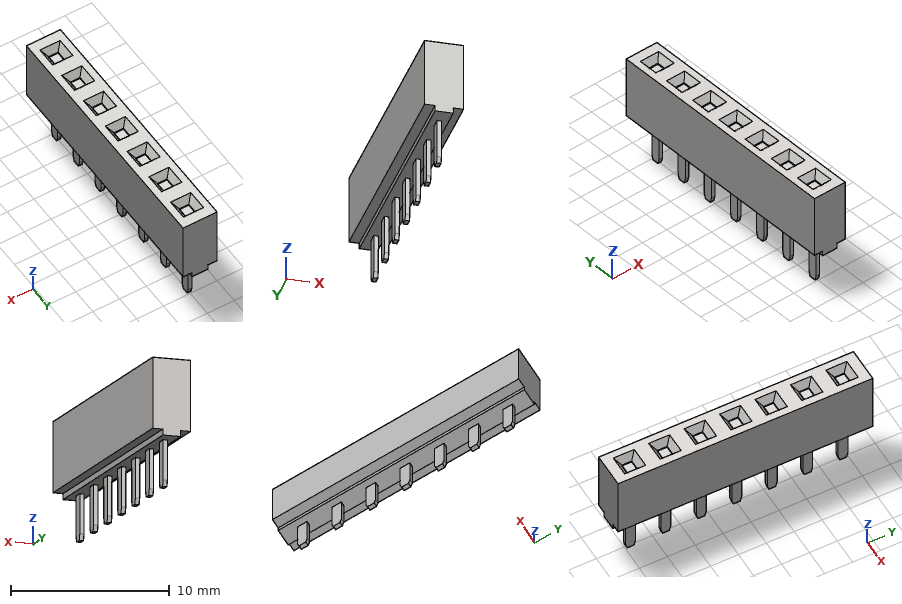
import cadquery as cq

contact_count = 7
pitch = 2.55
housing_length = 18.29
housing_width = pitch
overall_height = 8.0

pin_length = 3.0
housing_height = overall_height - pin_length
rail_width = 1.19
rail_height = 0.38

mouth_size = 1.5
socket_size = 0.71
lead_in_depth = 0.5
socket_depth = 0.1

pin_width = 0.71
pin_thickness = 0.3
tip_width = 0.5
tip_length = 0.4

contact_positions = [(0, (i - (contact_count - 1) / 2) * pitch) for i in range(contact_count)]


def make_housing():
    """Block above a narrower full-length rail; the rail sits on Z = 0."""
    block = (
        cq.Workplane("XY")
        .workplane(offset=rail_height)
        .rect(housing_width, housing_length)
        .extrude(housing_height - rail_height)
    )
    rail = cq.Workplane("XY").rect(rail_width, housing_length).extrude(rail_height)
    return block.union(rail)


def make_openings():
    """Pyramid-shaped lead-ins continued by straight blind sockets."""
    lead_in = (
        cq.Workplane("XY")
        .workplane(offset=housing_height)
        .rect(mouth_size, mouth_size)
        .workplane(offset=-lead_in_depth)
        .rect(socket_size, socket_size)
        .loft(ruled=True)
    )
    socket = (
        cq.Workplane("XY")
        .workplane(offset=housing_height - lead_in_depth)
        .rect(socket_size, socket_size)
        .extrude(-socket_depth)
    )
    opening = lead_in.union(socket).val()
    openings = cq.Workplane("XY").pushPoints(contact_positions)
    return openings.eachpoint(lambda place: opening.moved(place))


def make_pins():
    """Flat pins hanging below the rail, tapered across Y at the tip."""
    half_width = pin_width / 2
    half_tip = tip_width / 2
    shoulder_z = tip_length - pin_length
    pin = (
        cq.Workplane("YZ")
        .polyline(
            [
                (-half_width, 0),
                (-half_width, shoulder_z),
                (-half_tip, -pin_length),
                (half_tip, -pin_length),
                (half_width, shoulder_z),
                (half_width, 0),
            ]
        )
        .close()
        .extrude(pin_thickness / 2, both=True)
        .val()
    )
    pins = cq.Workplane("XY").pushPoints(contact_positions)
    return pins.eachpoint(lambda place: pin.moved(place))


result = make_housing().cut(make_openings()).union(make_pins())